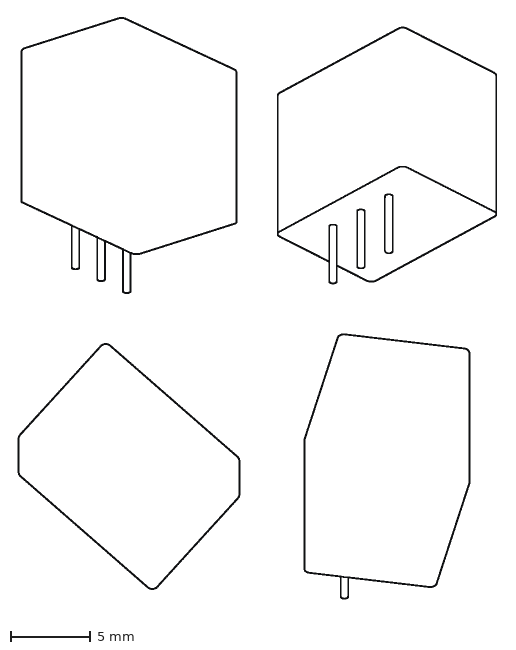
import cadquery as cq

TOTAL_HEIGHT = 14.5
CASE_LENGTH = 11.6
CASE_WIDTH = 8.5
CASE_HEIGHT = 10.4

CORNER_RADIUS = 0.42
TOP_EDGE_RADIUS = 0.2

PIN_DIAMETER = 0.5
PIN_COUNT = 3
PIN_PITCH = 2.54
PIN_ROW_X = -0.05
PIN_ROW_Y = -2.25
PIN_TIP_RADIUS = 0.07
PIN_LENGTH = TOTAL_HEIGHT - CASE_HEIGHT


def make_case():
    """Block standing on Z = 0 with round corners and a rounded top rim."""
    block = cq.Workplane("XY").box(CASE_LENGTH, CASE_WIDTH, CASE_HEIGHT, centered=(True, True, False))
    block = block.edges("|Z").fillet(CORNER_RADIUS)
    return block.faces(">Z").edges().fillet(TOP_EDGE_RADIUS)


def make_pin(x):
    """Round pin hanging from the underside of the case, with a rounded tip."""
    pin = cq.Workplane("XY").center(x, PIN_ROW_Y).circle(PIN_DIAMETER / 2).extrude(-PIN_LENGTH)
    return pin.faces("<Z").edges().fillet(PIN_TIP_RADIUS)


case = make_case()
pins = []
for index in range(PIN_COUNT):
    offset = (index - (PIN_COUNT - 1) / 2) * PIN_PITCH
    pins.append(make_pin(PIN_ROW_X + offset))

result = cq.Compound.makeCompound([case.val(), *[pin.val() for pin in pins]])